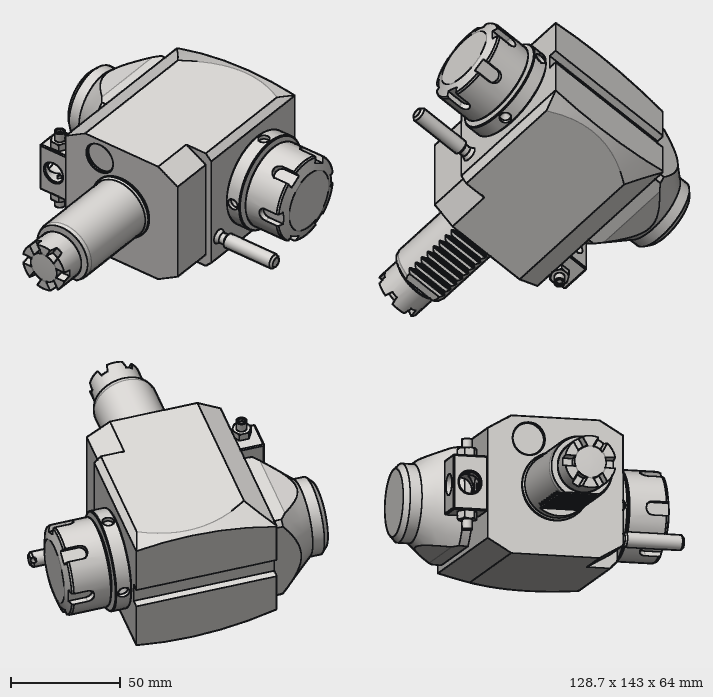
import cadquery as cq
import math


BLOCK_HALF = 32.0
BLOCK_DEPTH = 84.1
BEVEL_X = 11.2
BEVEL_Z = BEVEL_X * math.tan(math.radians(30))
FLANGE_X = 35.2
FLANGE_BEVEL = FLANGE_X - BLOCK_HALF
FLANGE_START_Y = 21.2
REAR_EDGE_CHAMFER = 0.5

CROWN_X = 9.5
CROWN_RADIUS = 151.6
CROWN_SLOPE = math.tan(math.radians(15))
CROWN_TOP_Z = 31.2

KEYWAY_HALF_WIDTH = 5.0
KEYWAY_DEPTH = 3.9

RECESS_X, RECESS_Z = -12.6, 21.6
RECESS_RADIUS = 7.5
RECESS_DEPTH = 1.5
RECESS_CHAMFER = 0.3

SPINDLE_Y = 55.2

CAP_END_X = -60.8
CAP_NOSE_RADIUS = 18.2
CAP_NOSE_CHAMFER = 2.6
CAP_CONE_START_X = -52.6
CAP_CONE_END_X = -36.3
CAP_RADIUS = 32.0
CAP_HALF_HEIGHT = 23.0
CAP_FLAT_START_X = -39.0
CAP_FLAT_SLOPE = math.tan(math.radians(15))
CAP_REAR_Y = 79.8

NECK_RADIUS = 17.6
RING_START_X, RING_END_X = 35.6, 43.3
RING_RADIUS = 23.5
NUT_EDGE_CHAMFER = 0.5
RING_HOLE_RADIUS = 2.7
RING_HOLE_DEPTH = 2.1
RING_HOLE_TIP = 2.1
NUT_START_X, NUT_END_X = 44.5, 65.2
NUT_RADIUS = 21.0
NUT_SHOULDER_X = 62.3
NUT_LIP_X = 63.3
NUT_LIP_RADIUS = 20.6
NUT_FACE_RADIUS = 14.9
NUT_SLOT_COUNT = 6
NUT_SLOT_START_X = 52.8
NUT_SLOT_WIDTH = 6.5
NUT_SLOT_CORNER = 3.1
NUT_SLOT_FLOOR_RADIUS = 17.9

PIN_Y, PIN_Z = 26.7, -17.0
PIN_RADIUS = 3.6
PIN_NECK_RADIUS = 2.6
PIN_NECK_START_X, PIN_NECK_END_X = 37.2, 39.9
PIN_BODY_X = 40.8
PIN_END_X = 67.9
PIN_END_CHAMFER = 1.1
PIN_VENT_RADIUS = 1.3
PIN_VENT_DIRECTION = cq.Vector(1, 1, 0.7)

COLLAR_RADIUS = 15.9
COLLAR_LENGTH = 1.0
SHANK_RADIUS = 15.0
SHANK_START = 2.0
SHANK_END = 44.6
SHANK_TIP_LENGTH = 2.0
SHANK_TIP_RADIUS = 14.5
SHANK_FLAT_Z = -11.9
SHANK_FLAT_START = 6.9
TOOTH_COUNT = 8
TOOTH_PITCH = 4.0
TOOTH_FIRST = 11.5
TOOTH_DEPTH = 1.3
TOOTH_ROOT_WIDTH = 0.7

DRIVE_NECK_RADIUS = 9.0
DRIVE_RADIUS = 12.0
DRIVE_CHAMFER = 0.3
DRIVE_START, DRIVE_END = 45.8, 58.6
DRIVE_TIP = 58.9
DRIVE_CORE_RADIUS = 7.5
DRIVE_SLOT_COUNT = 6
DRIVE_SLOT_DEPTH = 3.9
DRIVE_SLOT_FLOOR_WIDTH = 3.3
DRIVE_SLOT_MOUTH_WIDTH = 5.0

COOLANT_X, COOLANT_Y = -40, 8.7
COOLANT_END_X = -47.9
COOLANT_LENGTH_Y = 14.9
COOLANT_HEIGHT = 25.5
COOLANT_CHAMFER = 0.6
FRONT_PORT_RADIUS = 5.0
FRONT_PORT_CHAMFER = 0.6
SIDE_PORT_RADIUS = 4.9
SIDE_PORT_END_X = -34.6
FEED_RADIUS = 1.3
SCREW_BORE_DEPTH = 0.5

SCREW_Y = 6.1
SCREW_RADIUS = 2.5
SCREW_END_Z = 20.9
LOCK_NUT_CORNERS = 9.2
LOCK_NUT_END_Z = 16.5
LOCK_NUT_CHAMFER = 0.5
SCREW_SOCKET_CORNERS = 3.5
SCREW_SOCKET_DEPTH = 1.5


def turned_x(profile, y, z):
    """Solid of revolution about an X-parallel axis, from (x, radius) points."""
    return (
        cq.Workplane("XY").polyline(profile).close()
        .revolve(360, (0, 0, 0), (1, 0, 0)).translate((0, y, z))
    )


def turned_y(profile):
    """Solid of revolution about the Y axis, from (radius, distance along -Y) points."""
    points = [(radius, -distance) for radius, distance in profile]
    return cq.Workplane("XY").polyline(points).close().revolve(360, (0, 0, 0), (0, 1, 0))


def prism_y(points, start, end):
    """Prism along Y, from (x, z) points."""
    return cq.Workplane("XZ", origin=(0, start, 0)).polyline(points).close().extrude(start - end)


def crown_cone(side):
    """Cone that the block is trimmed to on the upper (+1) or lower (-1) side."""
    front_radius = CROWN_RADIUS + BLOCK_DEPTH * CROWN_SLOPE
    center = cq.Vector(CROWN_X, 0, side * (CROWN_TOP_Z - CROWN_RADIUS))
    return cq.Workplane(
        cq.Solid.makeCone(front_radius, CROWN_RADIUS, BLOCK_DEPTH, center, cq.Vector(0, 1, 0))
    )


def block():
    inner_x = BLOCK_HALF - BEVEL_X
    side_z = BLOCK_HALF - BEVEL_Z
    left_side = [
        (-inner_x, BLOCK_HALF), (-BLOCK_HALF, side_z),
        (-BLOCK_HALF, -side_z), (-inner_x, -BLOCK_HALF),
    ]
    front_right = [
        (inner_x, -BLOCK_HALF), (BLOCK_HALF, -side_z),
        (BLOCK_HALF, side_z), (inner_x, BLOCK_HALF),
    ]
    flange_z = BLOCK_HALF - FLANGE_BEVEL
    rear_right = [
        (BLOCK_HALF, -BLOCK_HALF), (FLANGE_X, -flange_z),
        (FLANGE_X, flange_z), (BLOCK_HALF, BLOCK_HALF),
    ]
    rear = prism_y(left_side + rear_right, FLANGE_START_Y, BLOCK_DEPTH)
    rear = rear.edges("|Z").edges(">Y and <X").chamfer(REAR_EDGE_CHAMFER)
    body = prism_y(left_side + front_right, 0, FLANGE_START_Y).union(rear)
    for side in (1, -1):
        body = body.intersect(crown_cone(side))
    keyway = cq.Workplane().box(
        4 * BLOCK_HALF, 2 * KEYWAY_DEPTH, 2 * KEYWAY_HALF_WIDTH
    ).translate((0, BLOCK_DEPTH, 0))
    recess = turned_y([
        (0, 0),
        (RECESS_RADIUS + RECESS_CHAMFER, 0),
        (RECESS_RADIUS, -RECESS_CHAMFER),
        (RECESS_RADIUS, -RECESS_DEPTH),
        (0, -RECESS_DEPTH),
    ]).translate((RECESS_X, 0, RECESS_Z))
    return body.cut(keyway).cut(recess)


def bearing_cap():
    cap = turned_x([
        (-BLOCK_HALF, 0),
        (CAP_END_X, 0),
        (CAP_END_X, CAP_NOSE_RADIUS - CAP_NOSE_CHAMFER),
        (CAP_END_X + CAP_NOSE_CHAMFER, CAP_NOSE_RADIUS),
        (CAP_CONE_START_X, CAP_NOSE_RADIUS),
        (CAP_CONE_END_X, CAP_RADIUS),
        (-BLOCK_HALF, CAP_RADIUS),
    ], SPINDLE_Y, 0)
    nose_half_height = CAP_HALF_HEIGHT - (CAP_FLAT_START_X - CAP_CONE_START_X) * CAP_FLAT_SLOPE
    envelope = prism_y([
        (-BLOCK_HALF, CAP_HALF_HEIGHT), (CAP_FLAT_START_X, CAP_HALF_HEIGHT),
        (CAP_CONE_START_X, nose_half_height), (CAP_END_X, nose_half_height),
        (CAP_END_X, -nose_half_height), (CAP_CONE_START_X, -nose_half_height),
        (CAP_FLAT_START_X, -CAP_HALF_HEIGHT), (-BLOCK_HALF, -CAP_HALF_HEIGHT),
    ], SPINDLE_Y - CAP_RADIUS, CAP_REAR_Y)
    return cap.intersect(envelope)


def collet_nut():
    nut = turned_x([
        (FLANGE_X, 0),
        (FLANGE_X, NECK_RADIUS),
        (RING_START_X, NECK_RADIUS),
        (RING_START_X, RING_RADIUS - NUT_EDGE_CHAMFER),
        (RING_START_X + NUT_EDGE_CHAMFER, RING_RADIUS),
        (RING_END_X - NUT_EDGE_CHAMFER, RING_RADIUS),
        (RING_END_X, RING_RADIUS - NUT_EDGE_CHAMFER),
        (RING_END_X, NECK_RADIUS),
        (NUT_START_X, NECK_RADIUS),
        (NUT_START_X, NUT_RADIUS - NUT_EDGE_CHAMFER),
        (NUT_START_X + NUT_EDGE_CHAMFER, NUT_RADIUS),
        (NUT_SHOULDER_X, NUT_RADIUS),
        (NUT_LIP_X, NUT_LIP_RADIUS),
        (NUT_END_X, NUT_FACE_RADIUS),
        (NUT_END_X, 0),
    ], 0, 0)
    ring_middle = (RING_START_X + RING_END_X) / 2
    hole_floor = RING_RADIUS - RING_HOLE_DEPTH
    ring_hole = cq.Workplane("XZ").polyline([
        (0, RING_RADIUS), (RING_HOLE_RADIUS, RING_RADIUS),
        (RING_HOLE_RADIUS, hole_floor), (0, hole_floor - RING_HOLE_TIP),
    ]).close().revolve(360, (0, 0, 0), (0, 1, 0)).translate((ring_middle, 0, 0))
    for quarter in range(4):
        nut = nut.cut(ring_hole.rotate((0, 0, 0), (1, 0, 0), 90 * quarter))
    slot_length = NUT_END_X - NUT_SLOT_START_X
    slot = (
        cq.Workplane("XY", origin=(NUT_SLOT_START_X, 0, NUT_SLOT_FLOOR_RADIUS))
        .rect(2 * slot_length, NUT_SLOT_WIDTH).extrude(NUT_RADIUS)
        .edges("|Z").fillet(NUT_SLOT_CORNER)
        .translate((slot_length, 0, 0))
    )
    step = 360 / NUT_SLOT_COUNT
    for index in range(NUT_SLOT_COUNT):
        nut = nut.cut(slot.rotate((0, 0, 0), (1, 0, 0), step * (index + 0.5)))
    return nut.translate((0, SPINDLE_Y, 0))


def locating_pin():
    pin = turned_x([
        (FLANGE_X, 0),
        (FLANGE_X, PIN_RADIUS),
        (PIN_NECK_START_X, PIN_NECK_RADIUS),
        (PIN_NECK_END_X, PIN_NECK_RADIUS),
        (PIN_BODY_X, PIN_RADIUS),
        (PIN_END_X - PIN_END_CHAMFER, PIN_RADIUS),
        (PIN_END_X, PIN_RADIUS - PIN_END_CHAMFER),
        (PIN_END_X, 0),
    ], PIN_Y, PIN_Z)
    vent = cq.Workplane(cq.Solid.makeCylinder(
        PIN_VENT_RADIUS, 2 * PIN_RADIUS,
        cq.Vector(PIN_END_X - PIN_RADIUS, PIN_Y, PIN_Z), PIN_VENT_DIRECTION,
    ))
    return pin.cut(vent)


def shank():
    body = turned_y([
        (0, 0),
        (COLLAR_RADIUS, 0),
        (COLLAR_RADIUS, COLLAR_LENGTH),
        (SHANK_RADIUS, SHANK_START),
        (SHANK_RADIUS, SHANK_END - SHANK_TIP_LENGTH),
        (SHANK_TIP_RADIUS, SHANK_END),
        (0, SHANK_END),
    ])
    flat = prism_y([
        (-SHANK_RADIUS, SHANK_FLAT_Z), (SHANK_RADIUS, SHANK_FLAT_Z),
        (SHANK_RADIUS, -SHANK_RADIUS), (-SHANK_RADIUS, -SHANK_RADIUS),
    ], -SHANK_END, -SHANK_FLAT_START)
    body = body.cut(flat)
    root = TOOTH_ROOT_WIDTH / 2
    mouth = root + TOOTH_DEPTH
    for index in range(TOOTH_COUNT):
        y = -(TOOTH_FIRST + index * TOOTH_PITCH)
        groove = (
            cq.Workplane("YZ").polyline([
                (y - mouth, SHANK_FLAT_Z), (y - root, SHANK_FLAT_Z + TOOTH_DEPTH),
                (y + root, SHANK_FLAT_Z + TOOTH_DEPTH), (y + mouth, SHANK_FLAT_Z),
            ]).close().extrude(SHANK_RADIUS, both=True)
        )
        body = body.cut(groove)
    return body


def drive_nut():
    body = turned_y([
        (0, SHANK_END),
        (DRIVE_NECK_RADIUS, SHANK_END),
        (DRIVE_NECK_RADIUS, DRIVE_START),
        (DRIVE_RADIUS - DRIVE_CHAMFER, DRIVE_START),
        (DRIVE_RADIUS, DRIVE_START + DRIVE_CHAMFER),
        (DRIVE_RADIUS, DRIVE_END),
        (0, DRIVE_END),
    ])
    floor = DRIVE_SLOT_FLOOR_WIDTH / 2
    mouth = DRIVE_SLOT_MOUTH_WIDTH / 2
    slot_y = -(DRIVE_END - DRIVE_SLOT_DEPTH)
    slot = (
        cq.Workplane("YZ").polyline([
            (slot_y, floor), (-DRIVE_END, mouth), (-DRIVE_END, -mouth), (slot_y, -floor),
        ]).close().extrude(2 * DRIVE_RADIUS)
    )
    for index in range(DRIVE_SLOT_COUNT):
        body = body.cut(slot.rotate((0, 0, 0), (0, 1, 0), 360 / DRIVE_SLOT_COUNT * index))
    dome_height = DRIVE_TIP - DRIVE_END
    dome_radius = (DRIVE_CORE_RADIUS**2 + dome_height**2) / (2 * dome_height)
    core = (
        cq.Workplane("XY")
        .moveTo(0, -SHANK_END)
        .lineTo(DRIVE_CORE_RADIUS, -SHANK_END)
        .lineTo(DRIVE_CORE_RADIUS, -DRIVE_END)
        .radiusArc((0, -DRIVE_TIP), dome_radius)
        .close().revolve(360, (0, 0, 0), (0, 1, 0))
    )
    return body.union(core)


def coolant_block():
    length_x = -BLOCK_HALF - COOLANT_END_X
    body = (
        cq.Workplane().box(length_x, COOLANT_LENGTH_Y, COOLANT_HEIGHT)
        .faces("<X or >Y or >Z or <Z").edges("not >X").chamfer(COOLANT_CHAMFER)
        .translate((COOLANT_END_X + length_x / 2, COOLANT_Y, 0))
    )
    front_y = COOLANT_Y - COOLANT_LENGTH_Y / 2
    front_port = turned_y([
        (0, -front_y),
        (FRONT_PORT_RADIUS + FRONT_PORT_CHAMFER, -front_y),
        (FRONT_PORT_RADIUS, -front_y - FRONT_PORT_CHAMFER),
        (FRONT_PORT_RADIUS, -front_y - COOLANT_LENGTH_Y),
        (0, -front_y - COOLANT_LENGTH_Y),
    ]).translate((COOLANT_X, 0, 0))
    side_plane = cq.Workplane("YZ", origin=(COOLANT_END_X, COOLANT_Y, 0))
    side_port = side_plane.circle(SIDE_PORT_RADIUS).extrude(SIDE_PORT_END_X - COOLANT_END_X)
    feed = side_plane.circle(FEED_RADIUS).extrude(length_x)
    screw_bore = (
        cq.Workplane("XY", origin=(COOLANT_X, SCREW_Y, 0))
        .circle(FEED_RADIUS).extrude(FRONT_PORT_RADIUS + SCREW_BORE_DEPTH, both=True)
    )
    return body.cut(front_port).cut(side_port).cut(feed).cut(screw_bore)


def set_screw():
    base_z = COOLANT_HEIGHT / 2
    base = cq.Workplane("XY", origin=(COOLANT_X, SCREW_Y, base_z))
    nut_height = LOCK_NUT_END_Z - base_z
    lock_nut = base.polygon(6, LOCK_NUT_CORNERS).extrude(nut_height)
    nut_round = base.circle(LOCK_NUT_CORNERS / 2).extrude(nut_height)
    lock_nut = lock_nut.intersect(nut_round.faces(">Z").chamfer(LOCK_NUT_CHAMFER))
    screw = base.circle(SCREW_RADIUS).extrude(SCREW_END_Z - base_z)
    socket = (
        cq.Workplane("XY", origin=(COOLANT_X, SCREW_Y, SCREW_END_Z))
        .polygon(6, SCREW_SOCKET_CORNERS).extrude(-SCREW_SOCKET_DEPTH)
    )
    return lock_nut.union(screw).cut(socket)


upper_screw = set_screw()
lower_screw = upper_screw.mirror("XY")
result = block()
for component in (
    bearing_cap(), collet_nut(), locating_pin(), shank(), drive_nut(),
    coolant_block(), upper_screw, lower_screw,
):
    result = result.union(component)